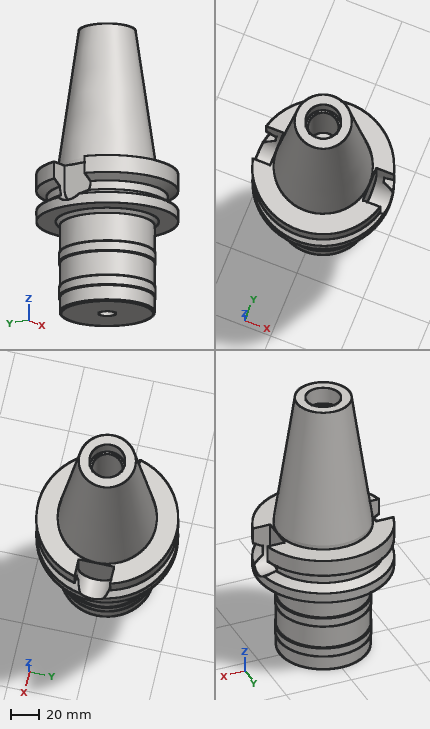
import cadquery as cq
import math

total_height = 206.8
flange_radius = 50.0

nose_radius = 33.5
nose_chamfer = 1.0
nose_top = 64.3

ring_radius = 34.1
ring_chamfer = ring_radius - nose_radius
ring_width = 7.9
ring_bottom = 11.4
ring_pitch = 25.0
ring_count = 2

flange_bottom = 67.2
nose_cone_radius = nose_radius + flange_bottom - nose_top
flange_top = 102.0
groove_radius = 42.8
groove_bottom = 74.9
groove_top = 89.5
flank_angle = 30.0
flank_height = (flange_radius - groove_radius) * math.tan(math.radians(flank_angle))
groove_floor_bottom = groove_bottom + flank_height
groove_floor_top = groove_top - flank_height

taper_length = 101.7
taper_large_radius = 35.0
taper_rate = 7 / 24
taper_small_radius = taper_large_radius - taper_length * taper_rate / 2
gauge_height = total_height - taper_length

slot_width = 25.6
slot_bottom = 71.5
slot_floor_x = 35.2
slot_end_radius = slot_width / 2
slot_center_height = slot_bottom + slot_end_radius

counterbore_radius = 12.6
counterbore_depth = 13.0
pull_stud_radius = 10.8
pull_stud_depth = 60.0
through_radius = 6.2


def make_body():
    """Revolve the outer profile of nose, flange and taper."""
    profile = [
        (0, 0),
        (nose_radius - nose_chamfer, 0),
        (nose_radius, nose_chamfer),
        (nose_radius, nose_top),
        (nose_cone_radius, flange_bottom),
        (flange_radius, flange_bottom),
        (flange_radius, groove_bottom),
        (groove_radius, groove_floor_bottom),
        (groove_radius, groove_floor_top),
        (flange_radius, groove_top),
        (flange_radius, flange_top),
        (taper_large_radius, flange_top),
        (taper_large_radius, gauge_height),
        (taper_small_radius, total_height),
        (0, total_height),
    ]
    return cq.Workplane("XZ").polyline(profile).close().revolve(360, (0, 0), (0, 1))


def make_ring(bottom):
    """Chamfered disc that stands slightly proud of the nose."""
    disc = cq.Workplane("XY").workplane(offset=bottom).circle(ring_radius).extrude(ring_width)
    return disc.faces("<Z or >Z").chamfer(ring_chamfer)


def make_drive_slot(side):
    """Cutter for one drive slot: side is +1 for +X and -1 for -X."""
    slot_depth = flange_radius - slot_floor_x
    return (
        cq.Workplane("YZ", origin=(side * slot_floor_x, 0, 0))
        .moveTo(-slot_end_radius, flange_top)
        .lineTo(-slot_end_radius, slot_center_height)
        .threePointArc((0, slot_bottom), (slot_end_radius, slot_center_height))
        .lineTo(slot_end_radius, flange_top)
        .close()
        .extrude(side * slot_depth)
    )


def make_bore(radius, depth):
    """Cutter for a round bore going down from the top face."""
    return cq.Workplane("XY").workplane(offset=total_height).circle(radius).extrude(-depth)


result = make_body()

for index in range(ring_count):
    result = result.union(make_ring(ring_bottom + index * ring_pitch))

for side in (1, -1):
    result = result.cut(make_drive_slot(side))

result = result.cut(make_bore(counterbore_radius, counterbore_depth))
result = result.cut(make_bore(pull_stud_radius, pull_stud_depth))
result = result.cut(make_bore(through_radius, total_height))